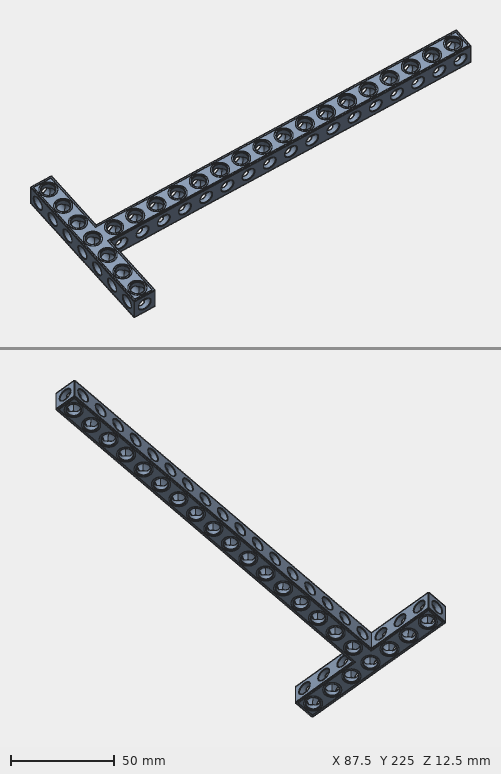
import cadquery as cq

pitch = 12.5
bar_holes = 7
stem_holes = 18
hole_diameter = 7.0
edge_chamfer = 0.3
ring_width = 1.1
recess_depth = 0.2

half = pitch / 2
bar_length = bar_holes * pitch
stem_length = stem_holes * pitch
stem_end = stem_length - half
hole_radius = hole_diameter / 2
ring_radius = hole_radius + ring_width

bar_positions = [(i - (bar_holes - 1) / 2) * pitch for i in range(bar_holes)]
stem_positions = [i * pitch for i in range(stem_holes)]
vertical_points = [(x, 0) for x in bar_positions] + [(0, y) for y in stem_positions[1:]]


def tee(inset, height):
    """T-shaped prism centred on Z, its outline moved inwards by the inset."""
    width = pitch - 2 * inset
    bar = cq.Workplane("XY").box(bar_length - 2 * inset, width, height)
    stem = (
        cq.Workplane("XY")
        .center(0, (stem_end - half) / 2)
        .box(width, stem_length - 2 * inset, height)
    )
    return bar.union(stem).clean()


def beam_body():
    """Solid T with chamfered outer edges; its two inner corners stay sharp."""
    body = tee(0, pitch)
    inner_corners = cq.selectors.BoxSelector((-pitch, 0, -half), (pitch, pitch, half))
    outer_corners = cq.selectors.SubtractSelector(cq.selectors.StringSyntaxSelector("|Z"), inner_corners)
    return body.edges("|X or |Y").add(body.edges(outer_corners)).chamfer(edge_chamfer)


def face_recess():
    """Shallow recess of the top face, leaving the rim and a ring around every hole."""
    pocket = tee(ring_width, 2 * recess_depth).translate((0, 0, half))
    rings = (
        cq.Workplane("XY")
        .workplane(offset=half - recess_depth)
        .pushPoints(vertical_points)
        .circle(ring_radius)
        .extrude(2 * recess_depth)
    )
    return pocket.cut(rings)


def hole_cutter(start, end):
    """Straight hole between two face points, with a chamfered mouth at both."""
    start = cq.Vector(*start)
    end = cq.Vector(*end)
    axis = end - start
    mouth_radius = hole_radius + edge_chamfer
    shaft = cq.Solid.makeCylinder(hole_radius, axis.Length, start, axis)
    first_mouth = cq.Solid.makeCone(mouth_radius, hole_radius, edge_chamfer, start, axis)
    second_mouth = cq.Solid.makeCone(mouth_radius, hole_radius, edge_chamfer, end, axis * -1)
    return shaft.fuse(first_mouth, second_mouth)


def all_hole_cutters():
    """Cutters for the holes along all three axes."""
    cutters = [hole_cutter((x, y, -half), (x, y, half)) for x, y in vertical_points]
    for x in bar_positions:
        far_side = stem_end if x == 0 else half
        cutters.append(hole_cutter((x, -half, 0), (x, far_side, 0)))
    for y in stem_positions:
        side = bar_length / 2 if y == 0 else half
        cutters.append(hole_cutter((-side, y, 0), (side, y, 0)))
    return cutters


top_recess = face_recess()
result = beam_body().cut(top_recess).cut(top_recess.mirror("XY"))
for cutter in all_hole_cutters():
    result = result.cut(cq.Workplane(cutter))